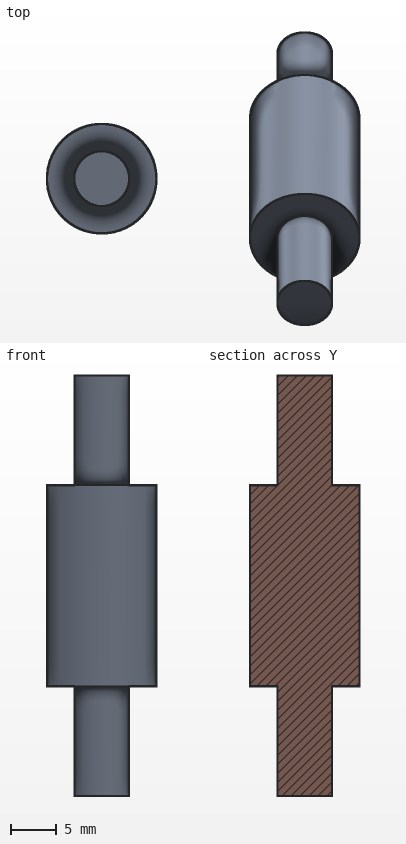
import cadquery as cq

body_diameter = 12.0
body_length = 22.0
pin_diameter = 6.0
pin_length = 12.0

overall_length = body_length + 2 * pin_length


def centred_cylinder(diameter, length):
    """Cylinder along Z, centred on the origin."""
    base = cq.Workplane("XY").workplane(offset=-length / 2)
    return base.circle(diameter / 2).extrude(length)


body = centred_cylinder(body_diameter, body_length)
pin = centred_cylinder(pin_diameter, overall_length)

result = body.union(pin)